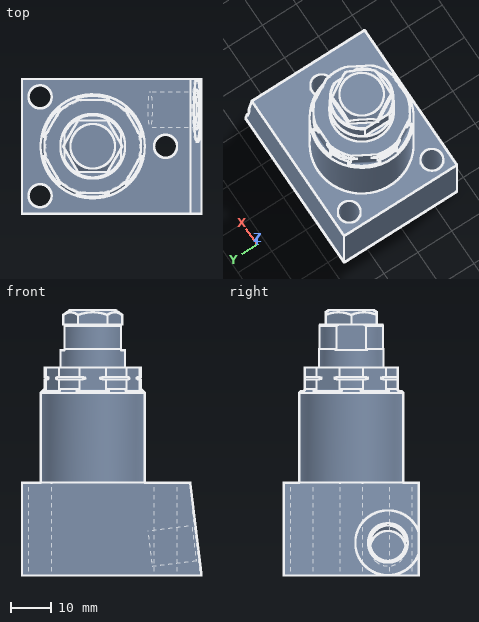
import cadquery as cq
import math


block_length = 44.45
block_width = 33.35
block_height = 23.0
slope_run = 2.8
axis_to_left_side = 17.5
slope_foot_x = block_length - axis_to_left_side
slope_angle = math.degrees(math.atan2(slope_run, block_height))

mount_hole_diameter = 5.65
left_holes_x = -13.0
left_holes_y = 12.2
right_hole_x = 18.0

port_y = 9.05
port_z = 8.15
spotface_radius = 8.1
spotface_depth = 0.3
port_mouth_radius = 4.9
port_radius = 4.4
port_chamfer = port_mouth_radius - port_radius
port_depth = 11.8

barrel_radius = 12.9
barrel_chamfer = 0.9
barrel_top = 46.1

collar_radius = barrel_radius - barrel_chamfer
collar_top = 51.5
collar_flat_count = 6
collar_across_flats = 23.0
collar_flats_bottom = 45.6
collar_flats_fillet = 0.5
groove_z = 48.8
groove_profile_radius = 0.3

neck_radius = 8.0
neck_top = 55.95
stem_radius = 7.9
stem_top = 62.05
stem_chamfer_height = 0.3
stem_chamfer_width = 0.2
stem_across_flats = 14.0
stem_flats_bottom = 55.75

head_across_flats = 12.7
head_top = 65.65
head_top_radius = 5.5
head_chamfer_height = 1.25


def cylinder(radius, bottom, top):
    return cq.Workplane("XY").workplane(offset=bottom).circle(radius).extrude(top - bottom)


def hexagon(across_flats, bottom, top):
    """Hexagonal prism with two flats facing +Y and -Y."""
    across_corners = across_flats / math.cos(math.pi / 6)
    return cq.Workplane("XY").workplane(offset=bottom).polygon(6, across_corners).extrude(top - bottom)


def make_block():
    profile = [
        (-axis_to_left_side, 0),
        (slope_foot_x, 0),
        (slope_foot_x - slope_run, block_height),
        (-axis_to_left_side, block_height),
    ]
    return cq.Workplane("XZ").polyline(profile).close().extrude(block_width / 2, both=True)


def make_mount_holes():
    centres = [(left_holes_x, left_holes_y), (left_holes_x, -left_holes_y), (right_hole_x, 0)]
    return cq.Workplane("XY").pushPoints(centres).circle(mount_hole_diameter / 2).extrude(block_height)


def make_port():
    """Spot face, countersunk mouth and blind bore, turned about the port's own axis."""
    chamfer_end = spotface_depth + port_chamfer
    half_section = [
        (0, 0),
        (spotface_radius, 0),
        (spotface_radius, -spotface_depth),
        (port_mouth_radius, -spotface_depth),
        (port_radius, -chamfer_end),
        (port_radius, -port_depth),
        (0, -port_depth),
    ]
    upright = cq.Workplane("XZ").polyline(half_section).close().revolve(360, (0, 0), (0, 1))
    port_x = slope_foot_x - slope_run * port_z / block_height
    tilted = upright.rotate((0, 0, 0), (0, 1, 0), 90 - slope_angle)
    return tilted.translate((port_x, port_y, port_z))


def make_collar_flat_cutter():
    """Material removed by the flat facing +Y, with a concave fillet along its foot."""
    flat_y = collar_across_flats / 2
    fillet_centre_y = flat_y + collar_flats_fillet
    fillet_centre_z = collar_flats_bottom + collar_flats_fillet
    fillet_reach = collar_flats_fillet * math.sqrt(0.5)
    half_length = flat_y * math.tan(math.pi / collar_flat_count)
    return (
        cq.Workplane("YZ")
        .moveTo(flat_y, collar_top)
        .lineTo(flat_y, fillet_centre_z)
        .threePointArc(
            (fillet_centre_y - fillet_reach, fillet_centre_z - fillet_reach),
            (fillet_centre_y, collar_flats_bottom),
        )
        .lineTo(barrel_radius, collar_flats_bottom)
        .lineTo(barrel_radius, collar_top)
        .close()
        .extrude(half_length, both=True)
    )


def make_barrel_and_collar():
    barrel = cylinder(barrel_radius, block_height, barrel_top).faces(">Z").chamfer(barrel_chamfer)
    body = barrel.union(cylinder(collar_radius, barrel_top, collar_top))
    flat_cutter = make_collar_flat_cutter()
    for side in range(collar_flat_count):
        body = body.cut(flat_cutter.rotate((0, 0, 0), (0, 0, 1), 360 / collar_flat_count * side))
    groove = (
        cq.Workplane("XZ")
        .center(collar_radius, groove_z)
        .circle(groove_profile_radius)
        .revolve(360, (-collar_radius, 0), (-collar_radius, 1))
    )
    return body.cut(groove)


def make_stem():
    """Neck and stem; the two flats face +X and -X and run slightly down into the neck."""
    neck = cylinder(neck_radius, collar_top, neck_top)
    stem = cylinder(stem_radius, neck_top, stem_top).faces(">Z").chamfer(
        stem_chamfer_height, stem_chamfer_width
    )
    flats_height = stem_top - stem_flats_bottom
    outside_flats = cylinder(neck_radius, stem_flats_bottom, stem_top).cut(
        cq.Workplane("XY")
        .workplane(offset=stem_flats_bottom)
        .rect(stem_across_flats, 2 * neck_radius)
        .extrude(flats_height)
    )
    return neck.union(stem).cut(outside_flats)


def make_head():
    corner_radius = head_across_flats / 2 / math.cos(math.pi / 6)
    chamfered_round = cylinder(corner_radius, stem_top, head_top).faces(">Z").chamfer(
        head_chamfer_height, corner_radius - head_top_radius
    )
    return hexagon(head_across_flats, stem_top, head_top).intersect(chamfered_round)


block = make_block().cut(make_mount_holes()).cut(make_port())
result = block.union(make_barrel_and_collar()).union(make_stem()).union(make_head())